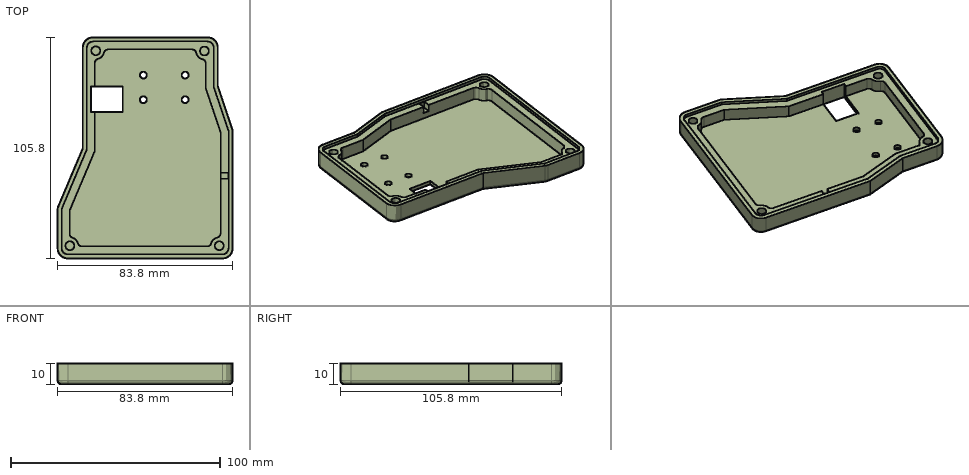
import cadquery as cq

width = 83.8
length = 105.8
height = 10.0
floor_thickness = 2.0
lip_height = 1.5
lip_width = 2.0
rim_width = 5.8
corner_radius = 5.0
bottom_radius = 2.0
ledge_z = height - lip_height

upper_left_x = 12.1
upper_right_x = 76.7
left_bend_low_y = 24.1
left_bend_high_y = 52.7
right_bend_low_y = 61.4
right_bend_high_y = 82.4
left_bend_radius = 4.0

screw_points = [(5.9, 6.1), (77.3, 6.1), (70.3, 99.2), (18.3, 99.3)]
screw_diameter = 4.2
boss_radius = 4.0
boss_blend_radius = 2.0

mount_diameter = 3.2
mount_xs = (41.0, 61.0)
mount_ys = (76.0, 87.7)

window_left_x = 16.1
window_low_y = 70.1
window_size_x = 15.0
window_size_y = 12.1

notch_low_y = 38.1
notch_width = 3.0
notch_depth = 3.5
notch_end_gap = 2.2


def outline(z):
    """Sharp-cornered outer profile as a wire at height z."""
    return cq.Workplane("XY", origin=(0, 0, z)).polyline([
        (0, 0),
        (width, 0),
        (width, right_bend_low_y),
        (upper_right_x, right_bend_high_y),
        (upper_right_x, length),
        (upper_left_x, length),
        (upper_left_x, left_bend_high_y),
        (0, left_bend_low_y),
    ]).close()


def at_corners(z, points):
    return cq.Workplane("XY", origin=(0, 0, z)).pushPoints(points)


def round_vertical_edges(body, points, radius):
    """Fillet the vertical edges that pass through the given XY points."""
    reach = 0.1
    for x, y in points:
        box = cq.selectors.BoxSelector((x - reach, y - reach, -height), (x + reach, y + reach, 2 * height))
        body = body.edges("|Z").edges(box).fillet(radius)
    return body


def make_block():
    corners = [(0, 0), (width, 0), (upper_right_x, length), (upper_left_x, length)]
    block = outline(0).extrude(height)
    block = round_vertical_edges(block, corners, corner_radius)
    block = round_vertical_edges(block, [(0, left_bend_low_y)], left_bend_radius)
    return block.faces("<Z").edges().fillet(bottom_radius)


def make_lip_recess():
    """Shallow recess inside the lip; its floor is the ledge."""
    corners = [
        (lip_width, lip_width),
        (width - lip_width, lip_width),
        (upper_right_x - lip_width, length - lip_width),
        (upper_left_x + lip_width, length - lip_width),
    ]
    recess = outline(ledge_z).offset2D(-lip_width, "intersection").extrude(lip_height)
    return round_vertical_edges(recess, corners, corner_radius - lip_width)


def make_pocket():
    """Main pocket, narrowed at its corners by the screw bosses."""
    depth = ledge_z - floor_thickness
    pocket = outline(floor_thickness).offset2D(-rim_width, "intersection").extrude(depth)
    pocket = pocket.cut(at_corners(floor_thickness, screw_points).circle(boss_radius).extrude(depth))
    for x, y in screw_points:
        reach = boss_radius + boss_blend_radius
        around_boss = cq.selectors.BoxSelector((x - reach, y - reach, 0), (x + reach, y + reach, height))
        pocket = pocket.edges("|Z").edges(around_boss).fillet(boss_blend_radius)
    return pocket


def make_window():
    return cq.Workplane("XY").box(window_size_x, window_size_y, height, centered=False).translate(
        (window_left_x, window_low_y, 0)
    )


def make_notch():
    notch_length = rim_width - notch_end_gap
    return cq.Workplane("XY").box(notch_length, notch_width, notch_depth, centered=False).translate(
        (width - rim_width, notch_low_y, ledge_z - notch_depth)
    )


mount_points = [(x, y) for x in mount_xs for y in mount_ys]
screw_holes = at_corners(floor_thickness, screw_points).circle(screw_diameter / 2).extrude(height)
mount_holes = at_corners(0, mount_points).circle(mount_diameter / 2).extrude(height)

result = make_block()
for cutter in (make_lip_recess(), make_pocket(), screw_holes, mount_holes, make_window(), make_notch()):
    result = result.cut(cutter)